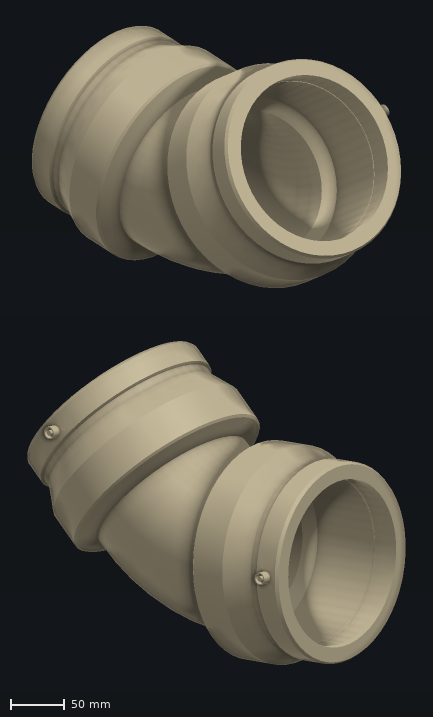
import cadquery as cq
import math

bend_angle = 45.0
bend_radius = 143.5
pipe_outer_radius = 83.5
pipe_inner_radius = 69.2

collar_radius = 192.5 / 2
groove_radius = 186.5 / 2
body_radius = 209.0 / 2
shoulder_radius = 102.3
bore_radius = 160.0 / 2
bead_radius = bore_radius - 0.5
mouth_chamfer_length = 3.0
mouth_chamfer_height = 2.0

collar_end = 25.5
bead_end = 28.0
groove_start = 27.0
groove_end = 34.8
body_start = 60.2
body_end = 95.7
shoulder_start = 97.8
socket_length = 105.5

terminal_diameter = 12.0
cup_diameter = 9.7
contact_diameter = 5.0
cup_depth = 6.3
terminal_depth = 14.5
overall_width = 209.5
terminal_tip = overall_width - body_radius
terminal_root = (bore_radius + collar_radius) / 2


def make_terminal():
    """Solid post pointing along +Y, with a ring-shaped cup sunk in its tip."""
    post = (
        cq.Workplane("XZ", origin=(terminal_depth, terminal_root, 0))
        .circle(terminal_diameter / 2)
        .extrude(terminal_root - terminal_tip)
    )
    cup = (
        cq.Workplane("XZ", origin=(terminal_depth, terminal_tip, 0))
        .circle(cup_diameter / 2)
        .circle(contact_diameter / 2)
        .extrude(cup_depth)
    )
    return post.cut(cup)


def make_socket():
    """Hollow socket with its mouth at X = 0 and its axis along +X."""
    profile = [
        (0, bore_radius),
        (0, collar_radius - mouth_chamfer_height),
        (mouth_chamfer_length, collar_radius),
        (collar_end, collar_radius),
        (groove_start, groove_radius),
        (groove_end, groove_radius),
        (body_start, body_radius),
        (body_end, body_radius),
        (shoulder_start, shoulder_radius),
        (socket_length, pipe_outer_radius),
        (socket_length, pipe_inner_radius),
        (body_end, bore_radius),
        (bead_end, bore_radius),
        (collar_end, bead_radius),
        (collar_end, bore_radius),
    ]
    shell = cq.Workplane("XY").polyline(profile).close().revolve(360, (0, 0, 0), (1, 0, 0))
    return shell.union(make_terminal())


def make_bend():
    """Pipe bent upward about an axis parallel to Y."""
    return (
        cq.Workplane("YZ", origin=(socket_length, 0, 0))
        .circle(pipe_outer_radius)
        .circle(pipe_inner_radius)
        .revolve(bend_angle, (0, bend_radius, 0), (-1, bend_radius, 0))
    )


def make_far_socket():
    """Second socket, the mirror image of the first about the middle of the bend."""
    bend_centre = cq.Vector(socket_length, 0, bend_radius)
    half_angle = math.radians(bend_angle / 2)
    mirror_normal = cq.Vector(math.cos(half_angle), 0, math.sin(half_angle))
    return make_socket().mirror(mirror_normal, bend_centre)


result = make_socket().union(make_bend()).union(make_far_socket())